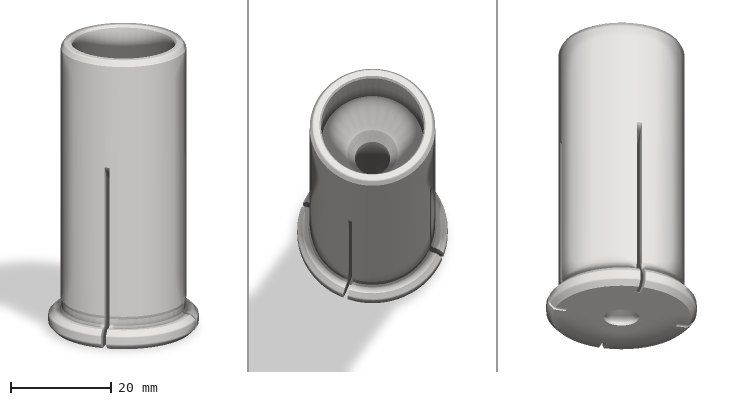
import cadquery as cq
import math

TOTAL_HEIGHT = 60.0
FLANGE_HEIGHT = 4.0
NECK_BOTTOM = 4.45
NECK_TOP = 5.75
BODY_BOTTOM = 6.35

FLANGE_RADIUS = 15.0
BODY_RADIUS = 25.0 / 2
NECK_RADIUS = 12.3

RIM_TOP_CHAMFER = 1.0
RIM_BOTTOM_CHAMFER = 1.15
RIM_BLEND_RADIUS = 0.5

LEAD_IN_HEIGHT = 1.15
LEAD_IN_ANGLE = 30.0
LEAD_IN_BLEND_RADIUS = 0.5

CUP_RADIUS = 20.5 / 2
THROAT_CONE_RADIUS = 10.0 / 2
HOLE_RADIUS = 7.0 / 2
CUP_DEPTH = 10.2
MOUTH_RADIUS = 10.55
MOUTH_DEPTH = 0.55
FUNNEL_ANGLE = 45.0
THROAT_CONE_ANGLE = 60.0

SLIT_COUNT = 4
SLIT_WIDTH = 1.0
SLIT_TOP = 37.55
SLIT_THROUGH_TOP = 28.6
SLIT_THROUGH_BOTTOM = 5.5
SLIT_FLOOR_RADIUS = 11.45
SLIT_OVERRUN = 0.6


def make_body():
    """Revolve the outer outline of the flange, neck and sleeve."""
    lead_in_run = LEAD_IN_HEIGHT * math.tan(math.radians(LEAD_IN_ANGLE))
    end_radius = BODY_RADIUS - lead_in_run
    outline = (
        cq.Workplane("XZ")
        .moveTo(0, 0)
        .lineTo(FLANGE_RADIUS - RIM_BOTTOM_CHAMFER, 0)
        .lineTo(FLANGE_RADIUS, RIM_BOTTOM_CHAMFER)
        .lineTo(FLANGE_RADIUS, FLANGE_HEIGHT - RIM_TOP_CHAMFER)
        .lineTo(FLANGE_RADIUS - RIM_TOP_CHAMFER, FLANGE_HEIGHT)
        .lineTo(NECK_RADIUS + NECK_BOTTOM - FLANGE_HEIGHT, FLANGE_HEIGHT)
        .lineTo(NECK_RADIUS, NECK_BOTTOM)
        .lineTo(NECK_RADIUS, NECK_TOP)
        .lineTo(BODY_RADIUS, BODY_BOTTOM)
        .lineTo(BODY_RADIUS, TOTAL_HEIGHT - LEAD_IN_HEIGHT)
        .lineTo(end_radius, TOTAL_HEIGHT)
        .lineTo(0, TOTAL_HEIGHT)
        .close()
    )
    body = outline.revolve(360, (0, 0, 0), (0, 1, 0))
    rim_edges = cq.selectors.RadiusNthSelector(-1)
    body = body.edges(rim_edges).fillet(RIM_BLEND_RADIUS)
    return body.faces(">Z").edges().fillet(LEAD_IN_BLEND_RADIUS)


def make_bore():
    """Revolve the stepped bore, open at both ends."""
    funnel_top = TOTAL_HEIGHT - CUP_DEPTH
    funnel_height = (CUP_RADIUS - THROAT_CONE_RADIUS) * math.tan(math.radians(FUNNEL_ANGLE))
    cone_top = funnel_top - funnel_height
    cone_height = (THROAT_CONE_RADIUS - HOLE_RADIUS) * math.tan(math.radians(THROAT_CONE_ANGLE))
    outline = [
        (0, 0),
        (HOLE_RADIUS, 0),
        (HOLE_RADIUS, cone_top - cone_height),
        (THROAT_CONE_RADIUS, cone_top),
        (CUP_RADIUS, funnel_top),
        (CUP_RADIUS, TOTAL_HEIGHT - MOUTH_DEPTH),
        (MOUTH_RADIUS, TOTAL_HEIGHT),
        (0, TOTAL_HEIGHT),
    ]
    return cq.Workplane("XZ").polyline(outline).close().revolve(360, (0, 0, 0), (0, 1, 0))


def make_slit():
    """Radial slit along +X whose ends slope inward to the hole."""
    outline = [
        (SLIT_FLOOR_RADIUS, 0),
        (HOLE_RADIUS, SLIT_THROUGH_BOTTOM),
        (0, SLIT_THROUGH_BOTTOM),
        (0, SLIT_THROUGH_TOP),
        (HOLE_RADIUS, SLIT_THROUGH_TOP),
        (BODY_RADIUS, SLIT_TOP),
        (FLANGE_RADIUS + SLIT_OVERRUN, SLIT_TOP),
        (FLANGE_RADIUS + SLIT_OVERRUN, 0),
    ]
    return cq.Workplane("XZ").polyline(outline).close().extrude(SLIT_WIDTH / 2, both=True)


result = make_body().cut(make_bore())
for index in range(SLIT_COUNT):
    slit_angle = index * 360 / SLIT_COUNT
    result = result.cut(make_slit().rotate((0, 0, 0), (0, 0, 1), slit_angle))